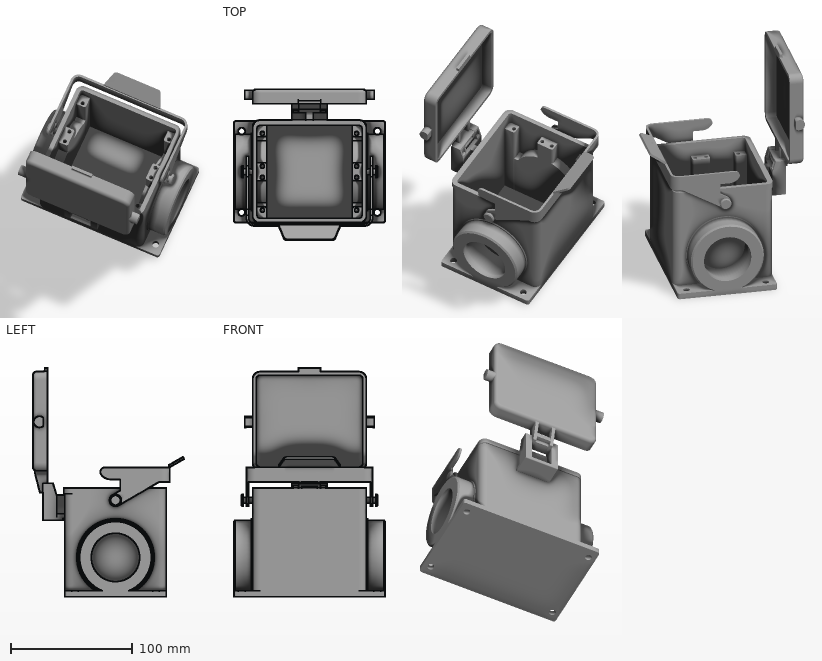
import cadquery as cq
import math

FLANGE_LENGTH, FLANGE_WIDTH, FLANGE_THICKNESS = 125.0, 84.0, 5.0
FLANGE_CORNER_RADIUS = 2.0
MOUNTING_HOLE_DIAMETER = 5.6
MOUNTING_HOLE_X, MOUNTING_HOLE_Y = 56.0, 33.5

HOUSING_LENGTH, HOUSING_HEIGHT = 94.0, 90.0
HOUSING_CORNER_RADIUS = 6.0
RIM_HEIGHT = 5.0
RIM_OVERHANG = 0.8
CAVITY_LENGTH, CAVITY_WIDTH = 86.8, 76.5
CAVITY_CORNER_RADIUS = 2.5

ENTRY_Z = 32.5
ENTRY_RADIUS, ENTRY_CHAMFER = 30.9, 1.3
ENTRY_BORE_RADIUS, ENTRY_BORE_DEPTH = 20.0, 24.3
COLLAR_RADIUS, COLLAR_THICKNESS = 32.0, 1.2
PAD_RADIUS, PAD_HALF_WIDTH, PAD_TOP_Z = 28.4, 29.0, 45.0

POST_FACE_X, POST_TOP_Z = 35.2, 78.0
POST_EDGE_RADIUS = 1.5
CENTRE_POST_WIDTH = 14.9
SCREW_HOLE_DIAMETER, SCREW_HOLE_DEPTH = 3.4, 12.0
SCREW_HOLE_X = 38.9
SCREW_HOLE_ROWS = (-31.7, -4.6, 4.6, 31.7)

COVER_BACK_Y, COVER_THICKNESS = 68.2, 12.1
COVER_BOTTOM_Z, COVER_TOP_Z = 104.0, 186.0
COVER_WALL, COVER_CORNER_RADIUS, COVER_EDGE_RADIUS = 3.0, 6.5, 3.0
TAB_WIDTH, TAB_HEIGHT, TAB_THICKNESS, TAB_FILLET = 18.2, 3.0, 2.4, 0.9
PEG_TIP_X, PEG_RADIUS, PEG_FLAT_OFFSET = 53.5, 4.65, 3.1
PEG_Y, PEG_Z = 62.8, 144.4

ARM_OUTER_X, ARM_INNER_X = 9.0, 6.2
ARM_BOTTOM_Z, ARM_FOOT_Y = 86.0, 62.5
BRACKET_LENGTH = 29.6
BRACKET_FRONT_Y, BRACKET_BACK_Y = 48.6, 60.0
BRACKET_BOTTOM_Z, BRACKET_TOP_Z = 63.0, 93.8
BRACKET_SLOPE_Y, BRACKET_SLOPE_Z = 51.5, 84.2
BRACKET_EDGE_RADIUS = 0.8
LIP_FRONT_Y, LIP_HEIGHT = 43.3, 1.5
BRACKET_CENTRE_TOP_Z, HOLLOW_BOTTOM_Z = 93.2, 66.0
SLOT_TOP_Z = 86.6
WINDOW_BOTTOM_Z, WINDOW_TOP_Z, WINDOW_DEPTH = 88.0, 91.4, 6.0
CROSSBAR_BACK_Y, CROSSBAR_BOTTOM_Z = 63.5, 90.0
CROSSBAR_RIB_THICKNESS, CROSSBAR_RIB_TOP_Z = 2.0, 94.2
NOTCH_INNER_X, NOTCH_OUTER_X = 9.2, 13.4
NOTCH_BOTTOM_Z, NOTCH_TOP_Z = 86.0, 92.0
STEM_HALF_WIDTH, STEM_TOP_Z = 3.0, BRACKET_SLOPE_Z
STEM_FILLET, FOOT_END_RADIUS = 6.0, 2.5
FOOT_BOTTOM_Z, FOOT_HEIGHT = 64.5, 4.0

LEVER_OUTER_X, LEVER_FRONT_Y = 52.2, -44.8
LEVER_THICKNESS, LEVER_BEND_RADIUS = 1.9, 7.0
LEVER_BOTTOM_Z, LEVER_TOP_Z = 94.6, 106.9
LEVER_NOSE_Y, LEVER_NOSE_Z = 12.7, 102.2
HOOK_NOTCH_Y, HOOK_NOTCH_Z, HOOK_CURVE_END_Y = -3.9, 96.8, 4.4
LEVER_NOSE_START_Y = 8.5
HOOK_CURVE_MIDDLE = (9.5, 98.5)
PIVOT_Z, PIVOT_EYE_RADIUS = 79.7, 5.0
LEVER_ANGLE = math.radians(30)
PIN_RADIUS, PIN_HEAD_RADIUS = 2.5, 4.8
PIN_TIP_X, PIN_HEAD_THICKNESS, PIN_HEAD_CHAMFER = 56.4, 1.8, 0.8
GRIP_ANGLE = math.radians(30)
GRIP_TIP_Y = -56.66
GRIP_ROOT_HALF_WIDTH, GRIP_TIP_HALF_WIDTH = 25.5, 20.5
GRIP_CORNER_RADIUS, GRIP_THICKNESS = 3.0, 2.0

HALF_HOUSING = HOUSING_LENGTH / 2
HALF_CAVITY = CAVITY_LENGTH / 2
HALF_FLANGE = FLANGE_LENGTH / 2
REAR_WALL_Y = FLANGE_WIDTH / 2
COVER_FRONT_Y = COVER_BACK_Y - COVER_THICKNESS
SIDES = (-1, 1)


def box(x0, x1, y0, y1, z0, z1):
    """Box between pairs of opposite coordinates, given in any order."""
    size = (abs(x1 - x0), abs(y1 - y0), abs(z1 - z0))
    corner = (min(x0, x1), min(y0, y1), min(z0, z1))
    return cq.Workplane("XY").box(*size, centered=False).translate(corner)


def x_cylinder(radius, x0, x1, y, z):
    """Cylinder along X between two X coordinates."""
    start = min(x0, x1)
    return cq.Workplane("YZ", origin=(start, y, z)).circle(radius).extrude(abs(x1 - x0))


def extrude_across(profile, length):
    """Extrude a YZ profile symmetrically about the mid plane of the part."""
    return profile.extrude(length / 2, both=True)


def make_flange():
    flange = cq.Workplane("XY").box(
        FLANGE_LENGTH, FLANGE_WIDTH, FLANGE_THICKNESS, centered=(True, True, False)
    )
    return flange.edges("|Z").fillet(FLANGE_CORNER_RADIUS)


def make_shell():
    body = box(-HALF_HOUSING, HALF_HOUSING, -REAR_WALL_Y, REAR_WALL_Y, 0, HOUSING_HEIGHT)
    rim = box(-HALF_HOUSING, HALF_HOUSING, -REAR_WALL_Y, REAR_WALL_Y + RIM_OVERHANG,
              HOUSING_HEIGHT - RIM_HEIGHT, HOUSING_HEIGHT)
    body = body.edges("|Z").fillet(HOUSING_CORNER_RADIUS)
    rim = rim.edges("|Z").fillet(HOUSING_CORNER_RADIUS)
    return body.union(rim)


def make_cavity():
    cavity = box(-HALF_CAVITY, HALF_CAVITY, -CAVITY_WIDTH / 2, CAVITY_WIDTH / 2,
                 FLANGE_THICKNESS, HOUSING_HEIGHT)
    return cavity.edges("|Z").fillet(CAVITY_CORNER_RADIUS)


def make_cable_entry(side):
    """Chamfered boss with a thin collar where it meets the wall."""
    boss = x_cylinder(ENTRY_RADIUS, side * HALF_CAVITY, side * HALF_FLANGE, 0, ENTRY_Z)
    boss = boss.faces(">X" if side > 0 else "<X").chamfer(ENTRY_CHAMFER)
    collar = x_cylinder(COLLAR_RADIUS, side * HALF_CAVITY,
                        side * (HALF_HOUSING + COLLAR_THICKNESS), 0, ENTRY_Z)
    return boss.union(collar)


def make_post(side, y0, y1, inner_edges):
    post = box(side * POST_FACE_X, side * HALF_HOUSING, y0, y1, FLANGE_THICKNESS, POST_TOP_Z)
    inner_face = "<X" if side > 0 else ">X"
    for edge in inner_edges:
        post = post.faces(inner_face).edges(edge).fillet(POST_EDGE_RADIUS)
    return post


def make_inner_supports(side):
    """Pad around the bore, corner posts and centre post along one end wall."""
    rear_y = CAVITY_WIDTH / 2
    pad = x_cylinder(PAD_RADIUS, side * POST_FACE_X, side * HALF_CAVITY, 0, ENTRY_Z)
    pad_block = box(side * POST_FACE_X, side * HALF_CAVITY, -PAD_HALF_WIDTH, PAD_HALF_WIDTH,
                    FLANGE_THICKNESS, PAD_TOP_Z)
    supports = pad.union(pad_block)
    supports = supports.union(make_post(side, PAD_HALF_WIDTH, rear_y, ["<Y"]))
    supports = supports.union(make_post(side, -rear_y, -PAD_HALF_WIDTH, [">Y"]))
    half_centre = CENTRE_POST_WIDTH / 2
    supports = supports.union(make_post(side, -half_centre, half_centre, ["<Y", ">Y"]))
    for y in SCREW_HOLE_ROWS:
        hole = cq.Workplane("XY", origin=(side * SCREW_HOLE_X, y, POST_TOP_Z))
        supports = supports.cut(hole.circle(SCREW_HOLE_DIAMETER / 2).extrude(-SCREW_HOLE_DEPTH))
    return supports.intersect(make_cavity())


def make_housing():
    housing = make_flange().union(make_shell())
    for side in SIDES:
        housing = housing.union(make_cable_entry(side))
    housing = housing.cut(make_cavity())
    for side in SIDES:
        housing = housing.union(make_inner_supports(side))
    for side in SIDES:
        housing = housing.cut(
            x_cylinder(ENTRY_BORE_RADIUS, side * (HALF_FLANGE - ENTRY_BORE_DEPTH), side * HALF_FLANGE,
                       0, ENTRY_Z)
        )
    hole_centres = [(sx * MOUNTING_HOLE_X, sy * MOUNTING_HOLE_Y) for sx in SIDES for sy in SIDES]
    holes = (cq.Workplane("XY").pushPoints(hole_centres)
             .circle(MOUNTING_HOLE_DIAMETER / 2).extrude(FLANGE_THICKNESS))
    return housing.cut(holes)


def make_cover_peg(side):
    """Round locking peg with a flat towards the front."""
    peg = x_cylinder(PEG_RADIUS, side * (HALF_HOUSING - COVER_WALL), side * PEG_TIP_X, PEG_Y, PEG_Z)
    flat_y = PEG_Y - PEG_FLAT_OFFSET
    trim = box(side * HALF_CAVITY, side * PEG_TIP_X, flat_y - PEG_RADIUS, flat_y,
               PEG_Z - PEG_RADIUS, PEG_Z + PEG_RADIUS)
    return peg.cut(trim)


def make_tab():
    """Finger tab on the upper front edge, blended into the top of the cover."""
    tab_back_y = COVER_FRONT_Y + TAB_THICKNESS
    profile = (cq.Workplane("YZ")
               .moveTo(COVER_FRONT_Y, COVER_TOP_Z - COVER_WALL)
               .lineTo(COVER_FRONT_Y, COVER_TOP_Z + TAB_HEIGHT)
               .lineTo(tab_back_y, COVER_TOP_Z + TAB_HEIGHT)
               .lineTo(tab_back_y, COVER_TOP_Z + TAB_FILLET)
               .radiusArc((tab_back_y + TAB_FILLET, COVER_TOP_Z), -TAB_FILLET)
               .lineTo(tab_back_y + TAB_FILLET, COVER_TOP_Z - COVER_WALL)
               .close())
    return extrude_across(profile, TAB_WIDTH)


def make_cover():
    cover = box(-HALF_HOUSING, HALF_HOUSING, COVER_FRONT_Y, COVER_BACK_Y, COVER_BOTTOM_Z, COVER_TOP_Z)
    cover = cover.edges("|Y").fillet(COVER_CORNER_RADIUS)
    cover = cover.faces(">Y").edges().fillet(COVER_EDGE_RADIUS)
    inner_x = HALF_HOUSING - COVER_WALL
    recess = box(-inner_x, inner_x, COVER_FRONT_Y, COVER_BACK_Y - COVER_WALL,
                 COVER_BOTTOM_Z + COVER_WALL, COVER_TOP_Z - COVER_WALL)
    recess = recess.edges("|Y").fillet(COVER_CORNER_RADIUS - COVER_WALL)
    cover = cover.cut(recess).union(make_tab())
    for side in SIDES:
        cover = cover.union(make_cover_peg(side))
    return cover


def make_cover_arm(side):
    """Tapered arm hanging from the cover into the hinge bracket."""
    root_back_y = COVER_BACK_Y - COVER_WALL / 2
    root_low_z = COVER_BOTTOM_Z - COVER_WALL / 2
    root_top_z = COVER_BOTTOM_Z + COVER_WALL
    profile = (cq.Workplane("YZ", origin=(side * ARM_INNER_X, 0, 0))
               .moveTo(COVER_FRONT_Y, ARM_BOTTOM_Z)
               .lineTo(ARM_FOOT_Y, ARM_BOTTOM_Z)
               .lineTo(root_back_y, root_low_z)
               .lineTo(root_back_y, root_top_z)
               .lineTo(COVER_FRONT_Y, root_top_z)
               .close())
    return profile.extrude(side * (ARM_OUTER_X - ARM_INNER_X))


def make_bracket():
    """Hinge bracket with sloped cheeks, windowed centre bar and a hollow open to the rear."""
    profile = (cq.Workplane("YZ")
               .moveTo(BRACKET_BACK_Y, BRACKET_BOTTOM_Z)
               .lineTo(BRACKET_BACK_Y, BRACKET_TOP_Z)
               .lineTo(BRACKET_SLOPE_Y, BRACKET_TOP_Z)
               .lineTo(BRACKET_FRONT_Y, BRACKET_SLOPE_Z)
               .lineTo(BRACKET_FRONT_Y, BRACKET_BOTTOM_Z + LIP_HEIGHT)
               .lineTo(LIP_FRONT_Y, BRACKET_BOTTOM_Z + LIP_HEIGHT)
               .lineTo(LIP_FRONT_Y, BRACKET_BOTTOM_Z)
               .close())
    bracket = extrude_across(profile, BRACKET_LENGTH)
    bracket = bracket.faces(">Y").edges("|X").fillet(BRACKET_EDGE_RADIUS)
    for side in SIDES:
        notch = box(side * NOTCH_INNER_X, side * NOTCH_OUTER_X, LIP_FRONT_Y, BRACKET_SLOPE_Y,
                    NOTCH_BOTTOM_Z, NOTCH_TOP_Z)
        bracket = bracket.cut(notch)
    top_relief = box(-ARM_OUTER_X, ARM_OUTER_X, BRACKET_SLOPE_Y, BRACKET_BACK_Y,
                     BRACKET_CENTRE_TOP_Z, BRACKET_TOP_Z)
    front_relief = box(-ARM_OUTER_X, ARM_OUTER_X, LIP_FRONT_Y, BRACKET_SLOPE_Y,
                       STEM_TOP_Z, BRACKET_TOP_Z)
    hollow = box(-ARM_OUTER_X, ARM_OUTER_X, BRACKET_SLOPE_Y, BRACKET_BACK_Y,
                 HOLLOW_BOTTOM_Z, SLOT_TOP_Z)
    window = box(-ARM_INNER_X, ARM_INNER_X, BRACKET_SLOPE_Y, BRACKET_SLOPE_Y + WINDOW_DEPTH,
                 WINDOW_BOTTOM_Z, WINDOW_TOP_Z)
    for opening in (top_relief, front_relief, hollow, window):
        bracket = bracket.cut(opening)
    return bracket


def make_hinge_foot():
    """Inverted-T foot between housing and bracket, with concave flanks."""
    half = BRACKET_LENGTH / 2
    foot_top = FOOT_BOTTOM_Z + FOOT_HEIGHT
    bend_x = STEM_HALF_WIDTH + STEM_FILLET
    tip_z = foot_top - FOOT_END_RADIUS
    diagonal = 1 - math.sqrt(0.5)
    flank = (STEM_HALF_WIDTH + STEM_FILLET * diagonal, foot_top + STEM_FILLET * diagonal)
    shoulder = (half - FOOT_END_RADIUS * diagonal, foot_top - FOOT_END_RADIUS * diagonal)
    right_half = (cq.Workplane("XZ", origin=(0, BRACKET_FRONT_Y, 0))
                  .moveTo(0, FOOT_BOTTOM_Z)
                  .lineTo(half, FOOT_BOTTOM_Z)
                  .lineTo(half, tip_z)
                  .threePointArc(shoulder, (half - FOOT_END_RADIUS, foot_top))
                  .lineTo(bend_x, foot_top)
                  .threePointArc(flank, (STEM_HALF_WIDTH, foot_top + STEM_FILLET))
                  .lineTo(STEM_HALF_WIDTH, STEM_TOP_Z)
                  .lineTo(0, STEM_TOP_Z)
                  .close()
                  .extrude(BRACKET_FRONT_Y - REAR_WALL_Y))
    return right_half.union(right_half.mirror("YZ"))


def make_hinge():
    """Bracket and foot, with the cover arms tied together by a ribbed crossbar."""
    crossbar = box(-ARM_OUTER_X, ARM_OUTER_X, BRACKET_SLOPE_Y + WINDOW_DEPTH, CROSSBAR_BACK_Y,
                   CROSSBAR_BOTTOM_Z, BRACKET_CENTRE_TOP_Z)
    rib = box(-ARM_OUTER_X, ARM_OUTER_X, CROSSBAR_BACK_Y - CROSSBAR_RIB_THICKNESS, CROSSBAR_BACK_Y,
              CROSSBAR_BOTTOM_Z, CROSSBAR_RIB_TOP_Z)
    hinge = make_bracket().union(make_hinge_foot()).union(crossbar).union(rib)
    for side in SIDES:
        hinge = hinge.union(make_cover_arm(side))
    return hinge


def make_lever_side_profile():
    """Side outline: hooked top bar and a slanted leg down to the pivot eye."""
    normal_y, normal_z = math.sin(LEVER_ANGLE), math.cos(LEVER_ANGLE)
    eye_top = (PIVOT_EYE_RADIUS * normal_y, PIVOT_Z + PIVOT_EYE_RADIUS * normal_z)
    eye_bottom = (-PIVOT_EYE_RADIUS * normal_y, PIVOT_Z - PIVOT_EYE_RADIUS * normal_z)
    eye_back = (PIVOT_EYE_RADIUS * normal_z, PIVOT_Z - PIVOT_EYE_RADIUS * normal_y)
    slope = math.tan(LEVER_ANGLE)
    leg_top_z = eye_top[1] + (eye_top[0] - HOOK_NOTCH_Y) * slope
    leg_front_y = eye_bottom[0] - (LEVER_BOTTOM_Z - eye_bottom[1]) / slope
    return (cq.Workplane("YZ")
            .moveTo(LEVER_FRONT_Y, LEVER_BOTTOM_Z)
            .lineTo(LEVER_FRONT_Y, LEVER_TOP_Z)
            .lineTo(LEVER_NOSE_START_Y, LEVER_TOP_Z)
            .tangentArcPoint((LEVER_NOSE_Y, LEVER_NOSE_Z), relative=False)
            .threePointArc(HOOK_CURVE_MIDDLE, (HOOK_CURVE_END_Y, HOOK_NOTCH_Z))
            .lineTo(HOOK_NOTCH_Y, HOOK_NOTCH_Z)
            .lineTo(HOOK_NOTCH_Y, leg_top_z)
            .lineTo(*eye_top)
            .threePointArc(eye_back, eye_bottom)
            .lineTo(leg_front_y, LEVER_BOTTOM_Z)
            .close())


def make_lever_strap():
    """U-shaped strap bent around the front of the housing."""
    low_z, rear_y = PIVOT_Z - PIVOT_EYE_RADIUS, LEVER_NOSE_Y
    inner_x = LEVER_OUTER_X - LEVER_THICKNESS
    outer = box(-LEVER_OUTER_X, LEVER_OUTER_X, LEVER_FRONT_Y, rear_y, low_z, LEVER_TOP_Z)
    inner = box(-inner_x, inner_x, LEVER_FRONT_Y + LEVER_THICKNESS, rear_y, low_z, LEVER_TOP_Z)
    outer = outer.faces("<Y").edges("|Z").fillet(LEVER_BEND_RADIUS)
    inner = inner.faces("<Y").edges("|Z").fillet(LEVER_BEND_RADIUS - LEVER_THICKNESS)
    side_shape = extrude_across(make_lever_side_profile(), 2 * LEVER_OUTER_X)
    return outer.cut(inner).intersect(side_shape)


def make_grip():
    """Thumb grip rising outwards from the front edge of the strap."""
    slope_y, slope_z = -math.cos(GRIP_ANGLE), math.sin(GRIP_ANGLE)
    length = (GRIP_TIP_Y - LEVER_FRONT_Y) / slope_y
    plane = cq.Plane(origin=(0, LEVER_FRONT_Y, LEVER_TOP_Z), xDir=(-1, 0, 0),
                     normal=(0, slope_z, -slope_y))
    grip = (cq.Workplane(plane)
            .moveTo(-GRIP_ROOT_HALF_WIDTH, 0)
            .lineTo(GRIP_ROOT_HALF_WIDTH, 0)
            .lineTo(GRIP_TIP_HALF_WIDTH, length)
            .lineTo(-GRIP_TIP_HALF_WIDTH, length)
            .close()
            .extrude(GRIP_THICKNESS))
    root = box(-GRIP_ROOT_HALF_WIDTH, GRIP_ROOT_HALF_WIDTH, LEVER_FRONT_Y,
               LEVER_FRONT_Y + GRIP_THICKNESS * slope_z,
               LEVER_TOP_Z - GRIP_THICKNESS, LEVER_TOP_Z - GRIP_THICKNESS * slope_y)
    tip_corners = cq.selectors.ParallelDirSelector(plane.zDir)
    return grip.edges(tip_corners).edges("<Y").fillet(GRIP_CORNER_RADIUS).union(root)


def make_pivot_pin(side):
    head_x = side * (PIN_TIP_X - PIN_HEAD_THICKNESS)
    shaft = x_cylinder(PIN_RADIUS, side * HALF_CAVITY, head_x, 0, PIVOT_Z)
    head = x_cylinder(PIN_HEAD_RADIUS, head_x, side * PIN_TIP_X, 0, PIVOT_Z)
    head = head.faces(">X" if side > 0 else "<X").chamfer(PIN_HEAD_CHAMFER)
    return shaft.union(head)


def make_lever():
    lever = make_lever_strap().union(make_grip())
    for side in SIDES:
        lever = lever.union(make_pivot_pin(side))
    return lever


result = make_housing().union(make_cover()).union(make_hinge()).union(make_lever())